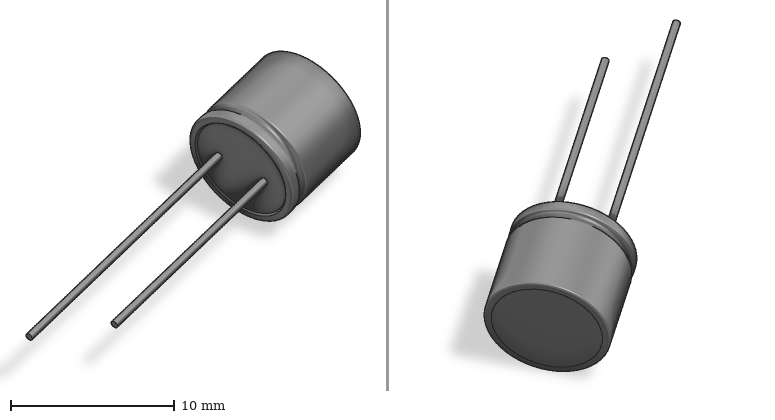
import cadquery as cq
import math


total_length = 26.0
case_diameter = 8.0
case_length = 7.0
case_radius = case_diameter / 2

can_diameter = 7.02
seal_diameter = 6.8
seal_recess = 0.13
seal_thickness = 1.5

front_round = 0.2
rear_round = 0.15

groove_start = 0.65
groove_end = 1.5
shoulder_width = 0.15
shoulder_drop = 0.08
groove_depth = 0.2

lead_diameter = 0.5
lead_pitch = 3.5
long_lead_reach = total_length - case_length
short_lead_reach = 15.0

seal_inner_y = seal_recess + seal_thickness
lead_x = lead_pitch / 2
quarter_arc_inset = 1 - math.sqrt(0.5)

shoulder_radius = (shoulder_width**2 + shoulder_drop**2) / (2 * shoulder_drop)
shoulder_half_angle = math.asin(shoulder_width / shoulder_radius) / 2
shoulder_mid_y = shoulder_radius * math.sin(shoulder_half_angle)
shoulder_mid_drop = shoulder_radius * (1 - math.cos(shoulder_half_angle))


def cylinder(diameter, start_y, end_y, x=0.0):
    """Solid cylinder along Y between two Y positions."""
    base = cq.Workplane("XZ", origin=(x, start_y, 0))
    return base.circle(diameter / 2).extrude(start_y - end_y)


def make_sleeve():
    """Outer sleeve with rounded ends and a crimp groove, revolved about Y."""
    bore_radius = can_diameter / 2
    shoulder_r = case_radius - shoulder_drop
    shoulder_mid_r = case_radius - shoulder_mid_drop
    groove_mid_y = (groove_start + groove_end) / 2
    front_inset = front_round * quarter_arc_inset
    rear_inset = rear_round * quarter_arc_inset
    profile = (
        cq.Workplane("XY")
        .moveTo(bore_radius, 0)
        .lineTo(case_radius - front_round, 0)
        .threePointArc((case_radius - front_inset, front_inset), (case_radius, front_round))
        .lineTo(case_radius, groove_start)
        .threePointArc(
            (shoulder_mid_r, groove_start + shoulder_mid_y),
            (shoulder_r, groove_start + shoulder_width),
        )
        .threePointArc(
            (case_radius - groove_depth, groove_mid_y),
            (shoulder_r, groove_end - shoulder_width),
        )
        .threePointArc((shoulder_mid_r, groove_end - shoulder_mid_y), (case_radius, groove_end))
        .lineTo(case_radius, case_length - rear_round)
        .threePointArc(
            (case_radius - rear_inset, case_length - rear_inset),
            (case_radius - rear_round, case_length),
        )
        .lineTo(bore_radius, case_length)
        .close()
    )
    return profile.revolve(360, (0, 0, 0), (0, 1, 0))


def make_can():
    """Inner can filling the sleeve, with a pocket for the seal and a tapered mouth."""
    can = cylinder(can_diameter, 0, case_length)
    can = can.cut(cylinder(seal_diameter, 0, seal_inner_y))
    mouth_taper = (
        cq.Workplane("XY")
        .lineTo(can_diameter / 2, 0)
        .lineTo(seal_diameter / 2, seal_recess)
        .lineTo(0, seal_recess)
        .close()
        .revolve(360, (0, 0, 0), (0, 1, 0))
    )
    return can.cut(mouth_taper)


def make_seal():
    """End seal disc with a through hole for each lead."""
    seal = cylinder(seal_diameter, seal_recess, seal_inner_y)
    for x in (-lead_x, lead_x):
        seal = seal.cut(cylinder(lead_diameter, seal_recess, seal_inner_y, x))
    return seal


def make_lead(x, reach):
    """Straight round lead passing through the seal."""
    return cylinder(lead_diameter, -reach, seal_inner_y, x)


sleeve = make_sleeve()
can = make_can()
seal = make_seal()

leads = []
for x, reach in ((-lead_x, long_lead_reach), (lead_x, short_lead_reach)):
    leads.append(make_lead(x, reach).val())

result = cq.Compound.makeCompound([sleeve.val(), can.val(), seal.val(), *leads])